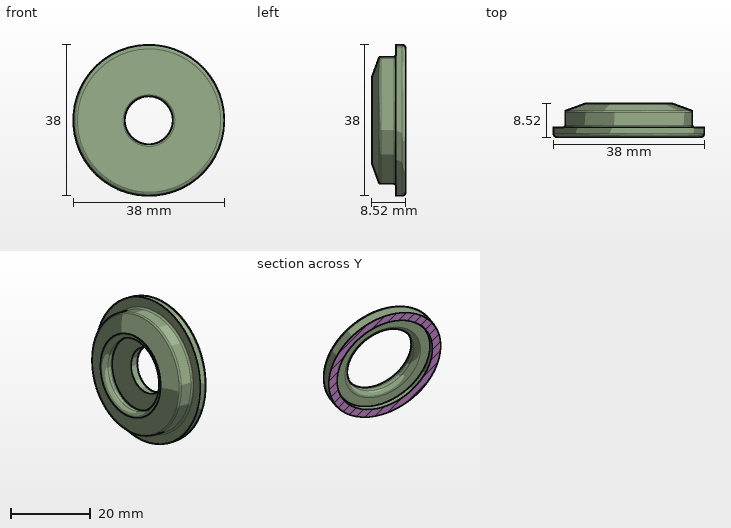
import cadquery as cq
import math

overall_length = 8.52

flange_radius = 19.0
flange_thickness = 2.5
flange_rim_fillet = 1.0

hub_radius = 16.0
hub_back_radius = 10.9
hub_taper_angle = 20.0
hub_fillet = 0.5
taper_length = (hub_radius - hub_back_radius) * math.tan(math.radians(hub_taper_angle))
shoulder_y = overall_length - taper_length

bore_radius = 6.0
bore_edge_fillet = 0.5

wall_thickness = 2.5
chamber_depth = 2.5
chamber_radius = hub_radius - wall_thickness
lip_start_y = flange_thickness + chamber_depth
lip_radius = 9.5
lip_edge_fillet = 1.25

edge_tolerance = 0.01


def disc(radius, start_y, length):
    """Solid cylinder on the Y axis, running from start_y towards +Y."""
    return cq.Workplane("XZ", origin=(0, start_y, 0)).circle(radius).extrude(-length)


def circular_edge(radius, y):
    """Selector for the circular edge of the given radius at position y on the axis."""
    reach = radius + edge_tolerance
    low_corner = (-reach, y - edge_tolerance, -reach)
    high_corner = (reach, y + edge_tolerance, reach)
    return cq.selectors.BoxSelector(low_corner, high_corner, boundingbox=True)


def make_outer_body():
    """Flange and tapered hub with rounded rim, hub foot and hub shoulder."""
    profile = (
        cq.Workplane("XY")
        .lineTo(flange_radius, 0)
        .lineTo(flange_radius, flange_thickness)
        .lineTo(hub_radius, flange_thickness)
        .lineTo(hub_radius, shoulder_y)
        .lineTo(hub_back_radius, overall_length)
        .lineTo(0, overall_length)
        .close()
    )
    body = profile.revolve(360, (0, 0, 0), (0, 1, 0))
    body = body.edges(circular_edge(flange_radius, 0)).fillet(flange_rim_fillet)
    body = body.edges(circular_edge(hub_radius, flange_thickness)).fillet(hub_fillet)
    return body.edges(circular_edge(hub_radius, shoulder_y)).fillet(hub_fillet)


def cut_openings(body):
    """Cut the flange bore, the inner chamber and the opening in the back lip."""
    body = body.cut(disc(bore_radius, 0, flange_thickness))
    body = body.cut(disc(chamber_radius, flange_thickness, chamber_depth))
    return body.cut(disc(lip_radius, lip_start_y, overall_length - lip_start_y))


def round_opening_edges(body):
    """Round the front edge of the bore and both edges of the lip."""
    body = body.edges(circular_edge(bore_radius, 0)).fillet(bore_edge_fillet)
    for lip_face_y in (lip_start_y, overall_length):
        body = body.edges(circular_edge(lip_radius, lip_face_y)).fillet(lip_edge_fillet)
    return body


result = round_opening_edges(cut_openings(make_outer_body())).solids()